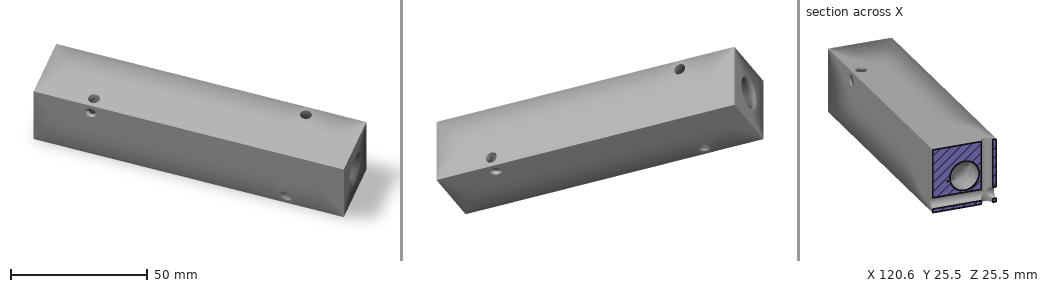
import cadquery as cq

length = 120.6
side = 25.5

bore_diameter = 11.5
mouth_diameter = 13.0
mouth_depth = (mouth_diameter - bore_diameter) / 2

cross_hole_diameter = 4.3
cross_hole_spacing = 76.3
cross_hole_offset = 8.9
half_spacing = cross_hole_spacing / 2


def cross_holes(plane, left_offset):
    """Two through holes on opposite sides of the bar's centre line."""
    return (
        cq.Workplane(plane)
        .pushPoints([(-half_spacing, left_offset), (half_spacing, -left_offset)])
        .circle(cross_hole_diameter / 2)
        .extrude(side, both=True)
    )


bar = cq.Workplane("XY").box(length, side, side)
bored = bar.faces("<X").workplane(centerOption="CenterOfBoundBox").hole(bore_diameter)
chamfered = bored.faces("<X or >X").edges("%CIRCLE").chamfer(mouth_depth)

result = (
    chamfered
    .cut(cross_holes("XZ", cross_hole_offset))
    .cut(cross_holes("XY", -cross_hole_offset))
)